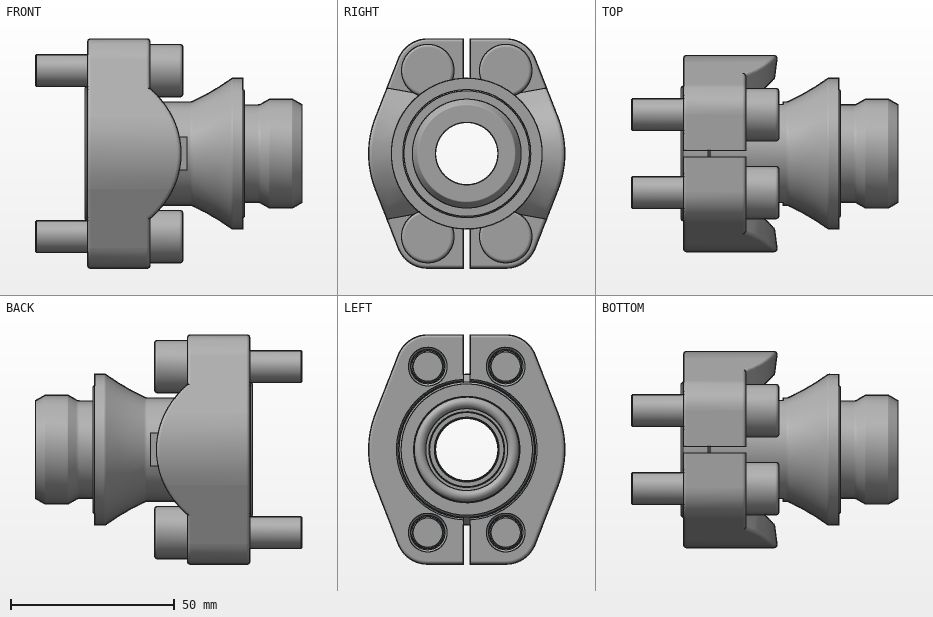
import cadquery as cq
import math

HEAD_FACE_X = 15.1
CLAMP_FRONT_X = 15.95
HEAD_BACK_X = 24.0
CLAMP_BACK_X = 35.0
FLATS_END_X = 46.3
COLLAR_START_X = 47.3
COLLAR_BACK_X = 63.3
SEAL_FACE_X = 63.8
STUD_CONE_END_X = 71.4
STUD_CHAMFER_X = 78.4
ADAPTER_END_X = 81.4

CLAMP_HEIGHT = 70.0
CLAMP_WIDTH = 59.9
SLOT_WIDTH = 2.0
EDGE_RADIUS = 1.0
HEAD_POCKET_DIA = 41.9
POCKET_CHAMFER = 0.5
NECK_HOLE_DIA = 33.8
DOME_TOP_X = 44.6
DOME_RADIUS = 27.7
DOME_TAPER = 0.13
DOME_CLEARANCE_DIA = 46.0

SCREW_DIA = 9.8
SCREW_HOLE_DIA = 10.5
HOLE_CHAMFER = 0.65
SCREW_HEAD_DIA = 16.0
SCREW_HEAD_LENGTH = 10.0
SCREW_TIP_CHAMFER = 0.4
SCREW_Y = 11.9
SCREW_Z = 25.3

HEAD_DIA = 41.3
HEAD_FACE_DIA = 40.05
NECK_DIA = 31.6
NECK_FILLET = 0.65
FLATS_WIDTH = 29.95
COLLAR_DIA = 46.0
COLLAR_CONE_START = (48.2, 16.0)
COLLAR_CONE_MIDDLE = (54.0, 19.05)
COLLAR_CONE_END = (59.75, 22.8)
COLLAR_RIM_X = 60.7
STUD_DIA = 33.2
UNDERCUT_DIA = 29.8
STUD_CONE_ANGLE = 30.0
UNDERCUT_BLEND_RADIUS = 1.8
STUD_EDGE_RADIUS = 0.4
BORE_DIA = 19.0
BORE_CHAMFER = 0.4

GROOVE_OUTER_DIA = 32.0
GROOVE_INNER_DIA = 23.1
GROOVE_DEPTH = 3.6
GROOVE_CHAMFER = 0.25
CORD_DIA = 3.5

SEAL_DIA = 39.1
SEAL_CHAMFER = 0.4
SEAL_RECESS_DEPTH = 1.6


def cylinder(dia, start_x, end_x, y=0.0, z=0.0):
    """Round bar along X."""
    bar = cq.Workplane("YZ", origin=(start_x, y, z)).circle(dia / 2)
    return bar.extrude(end_x - start_x)


def revolve_about_x(profile):
    """Turn a closed XY profile about the flow axis."""
    return profile.close().revolve(360, (0, 0, 0), (1, 0, 0))


def clamp_outline():
    """Outline on the +Y side: screw-centred corners joined by tangent lines to the round flank."""
    half_height = CLAMP_HEIGHT / 2
    flank_radius = CLAMP_WIDTH / 2
    corner_radius = half_height - SCREW_Z

    centre_distance = math.hypot(SCREW_Y, SCREW_Z)
    centre_angle = math.atan2(SCREW_Z, SCREW_Y)
    normal = centre_angle - math.acos((flank_radius - corner_radius) / centre_distance)
    corner_middle = (normal + math.pi / 2) / 2

    def on_corner(angle, side):
        y = SCREW_Y + corner_radius * math.cos(angle)
        z = SCREW_Z + corner_radius * math.sin(angle)
        return (y, side * z)

    def on_flank(side):
        return (flank_radius * math.cos(normal), side * flank_radius * math.sin(normal))

    return (
        cq.Workplane("YZ", origin=(CLAMP_FRONT_X, 0, 0))
        .moveTo(0, -half_height)
        .lineTo(SCREW_Y, -half_height)
        .threePointArc(on_corner(corner_middle, -1), on_corner(normal, -1))
        .lineTo(*on_flank(-1))
        .threePointArc((flank_radius, 0), on_flank(1))
        .lineTo(*on_corner(normal, 1))
        .threePointArc(on_corner(corner_middle, 1), (SCREW_Y, half_height))
        .lineTo(0, half_height)
        .close()
    )


def dome():
    """Tapered boss along Y whose arched back stands behind the clamp plate."""
    axis_x = DOME_TOP_X - DOME_RADIUS
    flank_y = CLAMP_WIDTH / 2
    profile = (
        cq.Workplane("XY")
        .moveTo(axis_x, 0)
        .lineTo(DOME_TOP_X - DOME_TAPER * flank_y, 0)
        .lineTo(DOME_TOP_X, flank_y)
        .lineTo(axis_x, flank_y)
        .close()
    )
    return profile.revolve(360, (axis_x, 0, 0), (axis_x, 1, 0))


def rim_edges(half):
    """Front and back edges that follow the clamp outline, without the slot side and the dome foot."""
    core = clamp_outline().offset2D(-EDGE_RADIUS).extrude(CLAMP_BACK_X - CLAMP_FRONT_X + EDGE_RADIUS).val()
    rims = []
    for edge in half.edges("not(|X)").vals():
        on_slot_side = edge.BoundingBox().ymax < SLOT_WIDTH
        if not on_slot_side and not core.isInside(edge.positionAt(0.5), EDGE_RADIUS / 2):
            rims.append(edge)
    return half.newObject(rims)


def mouth(dia, chamfer):
    """Countersink at the clamp front that breaks the edge of a hole."""
    cone = cq.Workplane("YZ", origin=(CLAMP_FRONT_X, 0, 0)).circle(dia / 2 + chamfer)
    return cone.workplane(offset=chamfer).circle(dia / 2).loft()


def clamp_half(side):
    """Half of the split flange clamp; side is +1 or -1 along Y."""
    plate = clamp_outline().extrude(CLAMP_BACK_X - CLAMP_FRONT_X)
    flank = clamp_outline().extrude(DOME_TOP_X - CLAMP_FRONT_X)
    half = rim_edges(plate.union(flank.intersect(dome()))).fillet(EDGE_RADIUS)

    half = half.cut(cq.Workplane("XY").box(2 * ADAPTER_END_X, SLOT_WIDTH, 2 * CLAMP_HEIGHT))
    half = half.cut(cylinder(HEAD_POCKET_DIA, CLAMP_FRONT_X, HEAD_BACK_X))
    half = half.cut(mouth(HEAD_POCKET_DIA, POCKET_CHAMFER))
    half = half.cut(cylinder(NECK_HOLE_DIA, CLAMP_FRONT_X, CLAMP_BACK_X))
    half = half.cut(cylinder(DOME_CLEARANCE_DIA, CLAMP_BACK_X, ADAPTER_END_X))

    for z in (-SCREW_Z, SCREW_Z):
        half = half.cut(cylinder(SCREW_HOLE_DIA, CLAMP_FRONT_X, CLAMP_BACK_X, SCREW_Y, z))
        half = half.cut(mouth(SCREW_HOLE_DIA, HOLE_CHAMFER).translate((0, SCREW_Y, z)))
        half = half.cut(cylinder(SCREW_HEAD_DIA, CLAMP_BACK_X, ADAPTER_END_X, SCREW_Y, z))

    if side < 0:
        half = half.mirror("XZ")
    return half


def screw(y, z):
    """Cap screw with its head resting on the clamp back."""
    shank = cylinder(SCREW_DIA, 0, CLAMP_BACK_X).faces("<X").chamfer(SCREW_TIP_CHAMFER)
    head = cylinder(SCREW_HEAD_DIA, CLAMP_BACK_X, CLAMP_BACK_X + SCREW_HEAD_LENGTH)
    head = head.faces(">X").edges().fillet(EDGE_RADIUS)
    return shank.union(head).translate((0, y, z))


def adapter_body():
    """Turned outside of the adapter: clamped head, neck, collar and stud."""
    head_chamfer = (HEAD_DIA - HEAD_FACE_DIA) / 2
    neck_radius = NECK_DIA / 2
    fillet_offset = NECK_FILLET * (1 - math.sqrt(0.5))
    cone_angle = math.radians(STUD_CONE_ANGLE)
    thread_depth = (STUD_DIA - UNDERCUT_DIA) / 2
    kink_x = STUD_CONE_END_X - thread_depth / math.tan(cone_angle)
    blend_start_x = kink_x - UNDERCUT_BLEND_RADIUS * math.tan(cone_angle / 2)

    def on_blend(angle):
        x = blend_start_x + UNDERCUT_BLEND_RADIUS * math.sin(angle)
        return (x, UNDERCUT_DIA / 2 + UNDERCUT_BLEND_RADIUS * (1 - math.cos(angle)))

    profile = (
        cq.Workplane("XY")
        .moveTo(HEAD_FACE_X, 0)
        .lineTo(HEAD_FACE_X, HEAD_FACE_DIA / 2)
        .lineTo(HEAD_FACE_X + head_chamfer, HEAD_DIA / 2)
        .lineTo(HEAD_BACK_X - head_chamfer, HEAD_DIA / 2)
        .lineTo(HEAD_BACK_X, HEAD_FACE_DIA / 2)
        .lineTo(HEAD_BACK_X, neck_radius + NECK_FILLET)
        .threePointArc(
            (HEAD_BACK_X + fillet_offset, neck_radius + fillet_offset),
            (HEAD_BACK_X + NECK_FILLET, neck_radius),
        )
        .lineTo(COLLAR_START_X, neck_radius)
        .tangentArcPoint(COLLAR_CONE_START, relative=False)
        .threePointArc(COLLAR_CONE_MIDDLE, COLLAR_CONE_END)
        .tangentArcPoint((COLLAR_RIM_X, COLLAR_DIA / 2), relative=False)
        .lineTo(COLLAR_BACK_X, COLLAR_DIA / 2)
        .lineTo(COLLAR_BACK_X, UNDERCUT_DIA / 2)
        .lineTo(blend_start_x, UNDERCUT_DIA / 2)
        .threePointArc(on_blend(cone_angle / 2), on_blend(cone_angle))
        .lineTo(STUD_CONE_END_X, STUD_DIA / 2)
        .lineTo(STUD_CHAMFER_X, STUD_DIA / 2)
        .lineTo(ADAPTER_END_X, UNDERCUT_DIA / 2)
        .lineTo(ADAPTER_END_X, 0)
    )
    body = revolve_about_x(profile)

    margin = STUD_EDGE_RADIUS / 2
    stretch_start = (STUD_CONE_END_X - margin, -margin, -margin)
    stretch_end = (ADAPTER_END_X + margin, margin, margin)
    return body.edges(cq.selectors.BoxSelector(stretch_start, stretch_end)).fillet(STUD_EDGE_RADIUS)


def face_groove():
    """Annular O-ring groove in the head face, with both rims chamfered."""
    floor_x = HEAD_FACE_X + GROOVE_DEPTH
    rim_x = HEAD_FACE_X + GROOVE_CHAMFER
    outer = GROOVE_OUTER_DIA / 2
    inner = GROOVE_INNER_DIA / 2
    profile = (
        cq.Workplane("XY")
        .moveTo(HEAD_FACE_X, inner - GROOVE_CHAMFER)
        .lineTo(rim_x, inner)
        .lineTo(floor_x, inner)
        .lineTo(floor_x, outer)
        .lineTo(rim_x, outer)
        .lineTo(HEAD_FACE_X, outer + GROOVE_CHAMFER)
    )
    return revolve_about_x(profile)


def wrench_flats():
    """Material removed from the neck to leave two flats across Y."""
    length = FLATS_END_X - CLAMP_BACK_X
    middle_x = (FLATS_END_X + CLAMP_BACK_X) / 2
    ring = cq.Workplane("XY").box(length, COLLAR_DIA, COLLAR_DIA)
    return ring.cut(cq.Workplane("XY").box(length, FLATS_WIDTH, COLLAR_DIA)).translate((middle_x, 0, 0))


def seal_ring(end_x):
    """Plain ring around the stud undercut, from the floor of the collar recess to end_x."""
    start_x = COLLAR_BACK_X - SEAL_RECESS_DEPTH
    return cylinder(SEAL_DIA, start_x, end_x).cut(cylinder(UNDERCUT_DIA, start_x, end_x))


def adapter():
    """Flanged stud adapter with a through bore."""
    body = adapter_body().cut(cylinder(BORE_DIA, HEAD_FACE_X, ADAPTER_END_X))
    bore_edge = cq.selectors.RadiusNthSelector(0)
    body = body.faces("<X").edges(bore_edge).chamfer(BORE_CHAMFER)
    body = body.cut(face_groove()).cut(wrench_flats())
    return body.cut(seal_ring(COLLAR_BACK_X))


def o_ring():
    """Round-section ring lying on the groove floor against its outer wall."""
    cord_x = HEAD_FACE_X + GROOVE_DEPTH - CORD_DIA / 2
    cord_y = (GROOVE_OUTER_DIA - CORD_DIA) / 2
    cord = cq.Workplane("XY").center(cord_x, cord_y).circle(CORD_DIA / 2)
    return cord.revolve(360, (-cord_x, -cord_y, 0), (0.8 - cord_x, -cord_y, 0))


def collar_seal():
    """Flat ring in the collar recess, standing slightly proud of the collar."""
    outer_edge = cq.selectors.RadiusNthSelector(-1)
    return seal_ring(SEAL_FACE_X).faces(">X").edges(outer_edge).chamfer(SEAL_CHAMFER)


clamp_halves = [clamp_half(side) for side in (-1, 1)]
screws = [screw(y, z) for y in (-SCREW_Y, SCREW_Y) for z in (-SCREW_Z, SCREW_Z)]
bodies = [*clamp_halves, *screws, adapter(), o_ring(), collar_seal()]
result = cq.Compound.makeCompound([body.val() for body in bodies])